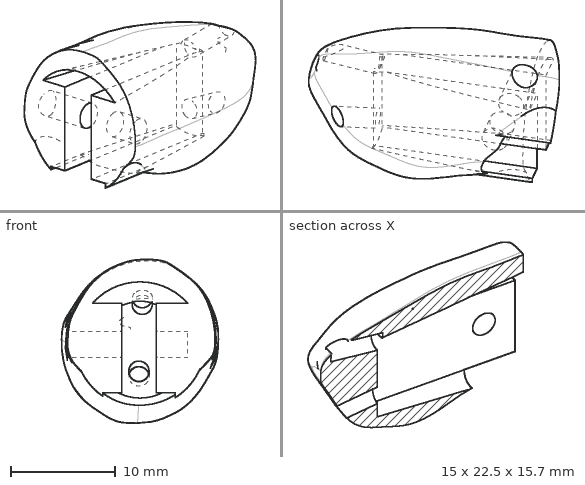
import cadquery as cq
import math

length = 22.5
width = 15.0
height = 15.65

shell_sections = [
    (0.0, -6.93, 7.15, 3.15, 7.65, height),
    (3.15, -7.0, 7.25, 2.6, 7.71, 15.55),
    (6.3, -7.2, 7.35, 1.55, 7.78, 15.52),
    (9.45, -7.35, 7.47, 0.45, 7.87, 15.18),
    (12.6, -width / 2, width / 2, 0.0, 7.98, 14.48),
    (15.52, -7.3, 7.15, 0.8, 8.1, 13.76),
    (18.22, -6.07, 6.03, 2.0, 8.32, 13.1),
    (20.47, -4.35, 4.45, 4.95, 8.88, 12.3),
    (21.82, -3.15, 3.42, 7.65, 9.45, 11.51),
    (length, -2.02, 1.57, 9.1, 9.67, 10.35),
]
points_per_quarter = 4
shell_lean = 0.04

core_radius = 6.25
core_center_z = 7.7
core_length = 7.87

cavity_depth = 16.2
mouth_top_z = 13.5
mouth_bottom_z = 1.33
back_top_z = 11.58
back_bottom_z = 2.38
slot_left, slot_right = -1.78, 1.55
upper_ledge_z = 11.47
lower_ledge_z = 2.88
lower_left, lower_right = -3.55, 3.35

pin_diameter = 2.5
pin_y = 3.46
pin_z = 7.53
pin_end_x = 4.5

cord_diameter = 1.93
upper_cord_x, upper_cord_z = 0.2, 11.35
upper_cord_tilt = 7.0
upper_cord_end_y = 21.28
lower_cord_x, lower_cord_z = -0.11, 4.95
lower_cord_tilt = -7.0


def face_plane(y):
    """XZ plane at the given y, with its normal along +Y; local coordinates are (x, -z)."""
    return cq.Plane(origin=(0, y, 0), xDir=(1, 0, 0), normal=(0, 1, 0))


def section_wire(y, left, right, bottom, widest, top):
    """Egg-shaped closed curve made of an upper and a lower half ellipse, leaning sideways."""
    center_x = (left + right) / 2
    half_width = (right - left) / 2

    def quarter(start_angle, half_height):
        points = []
        for i in range(points_per_quarter + 1):
            angle = math.radians(start_angle + 90 * i / points_per_quarter)
            rise = half_height * math.sin(angle)
            x = center_x + half_width * math.cos(angle) + shell_lean * rise
            points.append(cq.Vector(x, y, widest + rise))
        tangents = []
        for end_angle in (start_angle, start_angle + 90):
            angle = math.radians(end_angle)
            climb = half_height * math.cos(angle)
            tangents.append(cq.Vector(-half_width * math.sin(angle) + shell_lean * climb, 0, climb))
        return cq.Edge.makeSpline(points, tangents=tangents)

    upper = top - widest
    lower = widest - bottom
    return cq.Wire.assembleEdges(
        [quarter(0, upper), quarter(90, upper), quarter(180, lower), quarter(270, lower)]
    )


def cord_hole(x, z, tilt, end_y):
    """Tilted cylinder from the back of the cavity to end_y, overlapping the cavity for a clean opening."""
    overlap = cord_diameter / 4
    bar_length = end_y - cavity_depth + overlap
    bar = cq.Workplane(face_plane(-overlap)).circle(cord_diameter / 2).extrude(bar_length)
    return bar.rotate((0, 0, 0), (1, 0, 0), tilt).translate((x, cavity_depth, z))


def cavity_box(left, right, bottom, top):
    """Block running from the open face to the back of the cavity."""
    box = cq.Workplane("XY").box(right - left, cavity_depth, top - bottom, centered=False)
    return box.translate((left, 0, bottom))


def make_shell():
    wires = [section_wire(*section) for section in shell_sections]
    return cq.Workplane(obj=cq.Solid.makeLoft(wires))


def make_core():
    """Round core, open at the bottom along the lower channel."""
    core = cq.Workplane(face_plane(0)).center(0, -core_center_z).circle(core_radius).extrude(core_length)
    return core.cut(make_lower_channel())


def make_lower_channel():
    return cavity_box(lower_left, lower_right, 0, lower_ledge_z)


def make_cavity():
    mouth_radius = (mouth_top_z - mouth_bottom_z) / 2
    mouth_center_z = (mouth_top_z + mouth_bottom_z) / 2
    back_radius = (back_top_z - back_bottom_z) / 2
    back_center_z = (back_top_z + back_bottom_z) / 2
    envelope = (
        cq.Workplane(face_plane(0))
        .center(0, -mouth_center_z)
        .circle(mouth_radius)
        .workplane(offset=cavity_depth)
        .center(0, mouth_center_z - back_center_z)
        .circle(back_radius)
        .loft(ruled=True)
    )
    slot = cavity_box(slot_left, slot_right, 0, height)
    upper_channel = cavity_box(-width / 2, width / 2, upper_ledge_z, height)
    return envelope.intersect(slot.union(upper_channel).union(make_lower_channel()))


def make_pin_hole():
    start_x = -width / 2
    hole = cq.Workplane("YZ", origin=(start_x, pin_y, pin_z))
    return hole.circle(pin_diameter / 2).extrude(pin_end_x - start_x)


result = (
    make_shell()
    .union(make_core())
    .cut(make_cavity())
    .cut(make_pin_hole())
    .cut(cord_hole(upper_cord_x, upper_cord_z, upper_cord_tilt, upper_cord_end_y))
    .cut(cord_hole(lower_cord_x, lower_cord_z, lower_cord_tilt, length))
)